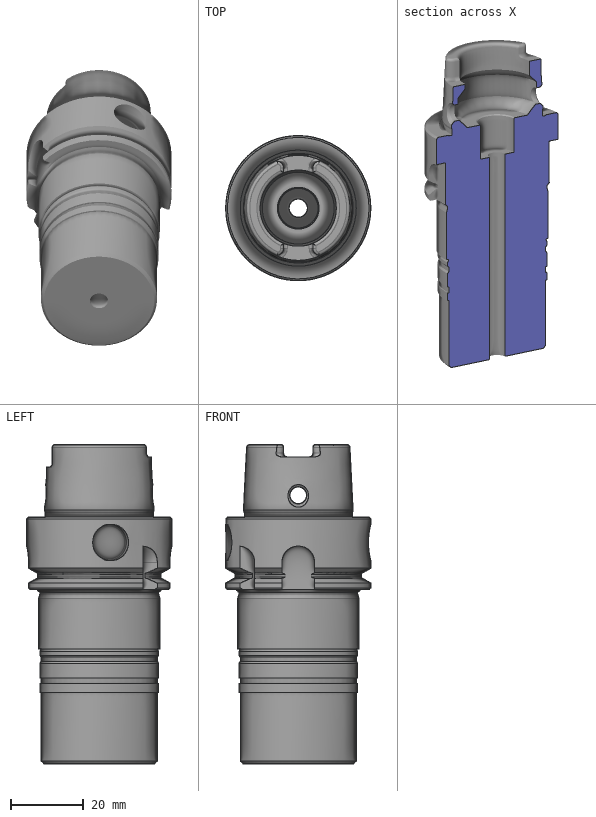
import cadquery as cq
import math


TAPER_TOP_Z = 20.0
FLANGE_BOTTOM_Z = -20.0
BODY_BOTTOM_Z = -68.0

TAPER_BASE_DIAMETER = 30.25
TAPER_BASE_Z = 1.9
TAPER_RATIO = 0.1
RELIEF_DIAMETER = 29.8
RELIEF_TOP_Z = 1.2
RIM_FILLET = 0.9
FACE_RECESS_DIAMETER = 32.0
FACE_RECESS_DEPTH = 0.2

MOUTH_DIAMETER = 21.0
MOUTH_BOTTOM_Z = 12.4
CLAMP_GROOVE_DIAMETER = 25.5
CLAMP_GROOVE_BOTTOM_Z = 3.9
CAVITY_FLOOR_DIAMETER = 19.8
TUBE_BORE_DIAMETER = 10.92
TUBE_BORE_MOUTH_DIAMETER = 11.5
TUBE_BORE_DEPTH = 10.0
COOLANT_DIAMETER = 5.0

DRIVE_SLOT_WIDTH = 8.05
DRIVE_SLOT_FLOOR_FILLET = 1.0
DRIVE_SLOT_RIM_FILLET = 0.8
DRIVE_SLOT_CORNER_RADIUS = 1.87
DRIVE_SLOT_CORNER_Y = 11.1
FRONT_DRIVE_SLOT_Z = 16.6
BACK_DRIVE_SLOT_Z = 13.8

ACCESS_DIAMETER = 4.6
ACCESS_Z = 6.0
ACCESS_SINK_DIAMETER = 6.2

FLANGE_DIAMETER = 40.0
FLANGE_CHAMFER = 0.5
GRIP_DIAMETER = 34.8
GRIP_TOP_Z = -14.1
GRIP_BOTTOM_Z = -18.2
GRIP_FLANK_ANGLE = math.radians(30)
GRIP_FILLET = 0.5

KEYWAY_WIDTH = 9.0
KEYWAY_ARCH_Z = -12.5
KEYWAY_FLOOR = 17.0
NOTCH_AXIS = 16.5
NOTCH_WALL = 12.0
CHIP_DIAMETER = 10.0
CHIP_DEPTH = 4.6
CHIP_FLOOR_FILLET = 0.4
CHIP_Z = -7.0
CHIP_TILT = 9.3

BODY_DIAMETER = 33.5
NECK_DIAMETER = 32.8
NECK_CHAMFER = 0.8
NECK_BOTTOM_Z = -21.2
BODY_SHOULDER_Z = -22.5
BODY_STEP_Z = -36.3
RING_DIAMETER = 32.8
RING_GROOVE_DIAMETER = 32.0
SHANK_DIAMETER = 32.0
SHANK_TOP_Z = -48.3
END_CHAMFER = 0.8

OVERLAP = 1.0


def revolve(points):
    """Revolve (radius, height) points about Z."""
    return cq.Workplane("XZ").polyline(points).close().revolve(360, (0, 0, 0), (0, 1, 0))


def taper_radius(z):
    return TAPER_BASE_DIAMETER / 2 - TAPER_RATIO / 2 * (z - TAPER_BASE_Z)


def drive_slot(side, floor_z):
    """Cutter for a rim slot whose walls round outwards; side is -1 for -Y and +1 for +Y."""
    half = DRIVE_SLOT_WIDTH / 2
    radius = DRIVE_SLOT_CORNER_RADIUS
    corner_x = half + radius
    corner_y = side * DRIVE_SLOT_CORNER_Y
    arc_dx = radius * math.cos(math.pi / 4)
    outer_x = TAPER_BASE_DIAMETER + OVERLAP
    outer_y = side * outer_x
    land_y = corner_y + side * radius
    arc_y = corner_y + side * arc_dx
    cutter = (
        cq.Workplane("XY")
        .workplane(offset=floor_z)
        .moveTo(-half, 0)
        .lineTo(-half, corner_y)
        .threePointArc((-corner_x + arc_dx, arc_y), (-corner_x, land_y))
        .lineTo(-outer_x, land_y)
        .lineTo(-outer_x, outer_y)
        .lineTo(outer_x, outer_y)
        .lineTo(outer_x, land_y)
        .lineTo(corner_x, land_y)
        .threePointArc((corner_x - arc_dx, arc_y), (half, corner_y))
        .lineTo(half, 0)
        .close()
        .extrude(TAPER_TOP_Z - floor_z + OVERLAP)
    )
    return cutter.faces("<Z").edges().fillet(DRIVE_SLOT_FLOOR_FILLET)


def hollow_taper():
    relief_radius = RELIEF_DIAMETER / 2
    taper = revolve([
        (0, -OVERLAP),
        (relief_radius, -OVERLAP),
        (relief_radius, RELIEF_TOP_Z),
        (taper_radius(TAPER_BASE_Z), TAPER_BASE_Z),
        (taper_radius(TAPER_TOP_Z), TAPER_TOP_Z),
        (0, TAPER_TOP_Z),
    ])
    mouth_height = TAPER_TOP_Z - MOUTH_BOTTOM_Z
    mouth = cq.Workplane("XY").workplane(offset=MOUTH_BOTTOM_Z).circle(MOUTH_DIAMETER / 2).extrude(mouth_height)
    taper = taper.cut(mouth)
    rounded = taper.faces(">Z").edges().fillet(RIM_FILLET)

    block = cq.Workplane("XY").rect(2 * TAPER_BASE_DIAMETER, 2 * TAPER_BASE_DIAMETER)
    block = block.extrude(TAPER_TOP_Z + OVERLAP).translate((0, 0, -OVERLAP))
    block = block.cut(drive_slot(-1, FRONT_DRIVE_SLOT_Z)).cut(drive_slot(1, BACK_DRIVE_SLOT_Z))
    block = block.faces(">Z").edges().fillet(DRIVE_SLOT_RIM_FILLET)
    return block.intersect(rounded)


def flange():
    radius = FLANGE_DIAMETER / 2
    grip = GRIP_DIAMETER / 2
    shoulder = grip + GRIP_FILLET
    flank_height = (radius - shoulder) * math.tan(GRIP_FLANK_ANGLE)
    upper_z = GRIP_TOP_Z - flank_height
    lower_z = GRIP_BOTTOM_Z + flank_height
    disc = (
        cq.Workplane("XZ")
        .lineTo(radius - FLANGE_CHAMFER, 0)
        .lineTo(radius, -FLANGE_CHAMFER)
        .lineTo(radius, GRIP_TOP_Z)
        .lineTo(shoulder, upper_z)
        .radiusArc((grip, upper_z - GRIP_FILLET), -GRIP_FILLET)
        .lineTo(grip, lower_z + GRIP_FILLET)
        .radiusArc((shoulder, lower_z), -GRIP_FILLET)
        .lineTo(radius, GRIP_BOTTOM_Z)
        .lineTo(radius, FLANGE_BOTTOM_Z + FLANGE_CHAMFER)
        .lineTo(radius - FLANGE_CHAMFER, FLANGE_BOTTOM_Z)
        .lineTo(0, FLANGE_BOTTOM_Z)
        .close()
        .revolve(360, (0, 0, 0), (0, 1, 0))
    )
    recess = cq.Workplane("XY").circle(FACE_RECESS_DIAMETER / 2).extrude(-FACE_RECESS_DEPTH)
    return disc.cut(recess)


def body():
    neck = NECK_DIAMETER / 2
    ring = RING_DIAMETER / 2
    groove = RING_GROOVE_DIAMETER / 2
    shank = SHANK_DIAMETER / 2
    outer = BODY_DIAMETER / 2
    return revolve([
        (0, FLANGE_BOTTOM_Z),
        (neck + NECK_CHAMFER, FLANGE_BOTTOM_Z),
        (neck, FLANGE_BOTTOM_Z - NECK_CHAMFER),
        (neck, NECK_BOTTOM_Z),
        (outer, BODY_SHOULDER_Z),
        (outer, BODY_STEP_Z),
        (groove, BODY_STEP_Z),
        (ring, -37.1),
        (ring, -38.1),
        (groove, -38.6),
        (groove, -39.8),
        (ring, -40.3),
        (ring, -44.3),
        (groove, -44.3),
        (groove, -45.9),
        (ring, -45.9),
        (ring, SHANK_TOP_Z),
        (shank, SHANK_TOP_Z),
        (shank, BODY_BOTTOM_Z + END_CHAMFER),
        (shank - END_CHAMFER, BODY_BOTTOM_Z),
        (0, BODY_BOTTOM_Z),
    ])


def bore():
    """Clamping cavity, coolant-tube bore and coolant passage."""
    mouth = MOUTH_DIAMETER / 2
    groove = CLAMP_GROOVE_DIAMETER / 2
    floor = CAVITY_FLOOR_DIAMETER / 2
    floor_z = CLAMP_GROOVE_BOTTOM_Z - (groove - floor)
    tube = TUBE_BORE_DIAMETER / 2
    tube_mouth = TUBE_BORE_MOUTH_DIAMETER / 2
    coolant = COOLANT_DIAMETER / 2
    return revolve([
        (0, MOUTH_BOTTOM_Z),
        (mouth, MOUTH_BOTTOM_Z),
        (groove, MOUTH_BOTTOM_Z - (groove - mouth)),
        (groove, CLAMP_GROOVE_BOTTOM_Z),
        (floor, floor_z),
        (tube_mouth, floor_z),
        (tube, floor_z - (tube_mouth - tube)),
        (tube, floor_z - TUBE_BORE_DEPTH),
        (coolant, floor_z - TUBE_BORE_DEPTH),
        (coolant, BODY_BOTTOM_Z),
        (0, BODY_BOTTOM_Z),
    ])


def access_hole():
    length = 2 * TAPER_BASE_DIAMETER
    drill = cq.Workplane("XZ").center(0, ACCESS_Z).circle(ACCESS_DIAMETER / 2).extrude(length / 2, both=True)
    surface = taper_radius(ACCESS_Z)
    sink_radius = ACCESS_SINK_DIAMETER / 2
    for side in (-1, 1):
        start = cq.Vector(0, side * (surface + OVERLAP), ACCESS_Z)
        top_radius = sink_radius + OVERLAP
        cone = cq.Solid.makeCone(top_radius, 0, top_radius, start, cq.Vector(0, -side, 0))
        drill = drill.union(cq.Workplane(obj=cone))
    return drill


def arched_slot(center_x, inner_y, side):
    """Cutter open at the flange bottom, arched at the top, reaching outwards from inner_y."""
    radius = KEYWAY_WIDTH / 2
    depth = FLANGE_DIAMETER / 2 - inner_y + OVERLAP
    return (
        cq.Workplane("XZ", origin=(center_x, side * inner_y, 0))
        .moveTo(-radius, FLANGE_BOTTOM_Z)
        .lineTo(-radius, KEYWAY_ARCH_Z)
        .threePointArc((0, KEYWAY_ARCH_Z + radius), (radius, KEYWAY_ARCH_Z))
        .lineTo(radius, FLANGE_BOTTOM_Z)
        .close()
        .extrude(-side * depth)
    )


def chip_hole(angle):
    """Flat-bottomed radial hole at an angle measured from +X towards +Y."""
    radius = FLANGE_DIAMETER / 2
    hole = (
        cq.Workplane("YZ", origin=(radius - CHIP_DEPTH, 0, CHIP_Z))
        .circle(CHIP_DIAMETER / 2)
        .extrude(CHIP_DEPTH + OVERLAP)
        .faces("<X").edges().fillet(CHIP_FLOOR_FILLET)
    )
    return hole.rotate((0, 0, 0), (0, 0, 1), angle)


holder = flange().union(hollow_taper()).union(body())
holder = holder.cut(bore()).cut(access_hole())
for side in (-1, 1):
    holder = holder.cut(arched_slot(0, KEYWAY_FLOOR, side))
holder = holder.cut(arched_slot(-NOTCH_AXIS, NOTCH_WALL, -1))
holder = holder.cut(chip_hole(0)).cut(chip_hole(180 + CHIP_TILT))
result = holder